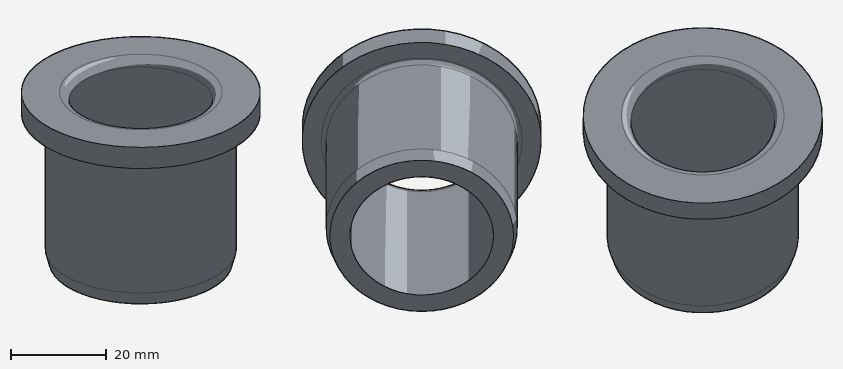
import cadquery as cq
import math

flange_diameter = 50
body_diameter = 40
bore_diameter = 30
total_height = 40
flange_thickness = 5
bore_mouth_radius = 2
flange_root_radius = 1
lead_in_height = 3
lead_in_angle = 15

body_height = total_height - flange_thickness
body_radius = body_diameter / 2
lead_in_tip_radius = body_radius - lead_in_height * math.tan(math.radians(lead_in_angle))


def make_body():
    """Tapered lead-in at the bottom, then the straight body."""
    return (
        cq.Workplane("XZ")
        .moveTo(0, 0)
        .lineTo(lead_in_tip_radius, 0)
        .lineTo(body_radius, lead_in_height)
        .lineTo(body_radius, body_height)
        .lineTo(0, body_height)
        .close()
        .revolve(360, (0, 0, 0), (0, 1, 0))
    )


def make_flange():
    return (
        cq.Workplane("XY")
        .workplane(offset=body_height)
        .circle(flange_diameter / 2)
        .extrude(flange_thickness)
    )


bushing = make_body().union(make_flange())

root_zone = cq.selectors.BoxSelector(
    (-body_diameter, -body_diameter, body_height - flange_root_radius),
    (body_diameter, body_diameter, body_height + flange_root_radius),
)
smallest_circle = cq.selectors.RadiusNthSelector(0)
bushing = bushing.edges(root_zone).edges("%CIRCLE").edges(smallest_circle).fillet(flange_root_radius)

bushing = bushing.faces(">Z").workplane().hole(bore_diameter)
result = bushing.faces(">Z").edges(smallest_circle).fillet(bore_mouth_radius)